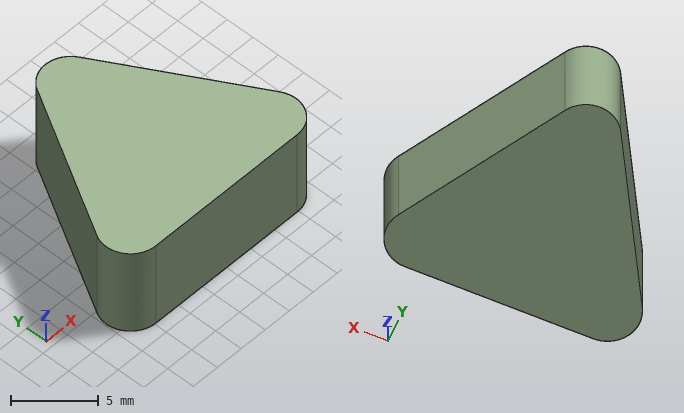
import cadquery as cq
import math

width = 15.78
thickness = 6.55
corner_radius = 2.0

center_spacing = width - 2 * corner_radius
center_circle_diameter = 2 * center_spacing / math.sqrt(3)
apex_turn = 90

result = (
    cq.Workplane("XY")
    .polygon(3, center_circle_diameter)
    .offset2D(corner_radius, "arc")
    .extrude(thickness)
    .rotate((0, 0, 0), (0, 0, 1), apex_turn)
)